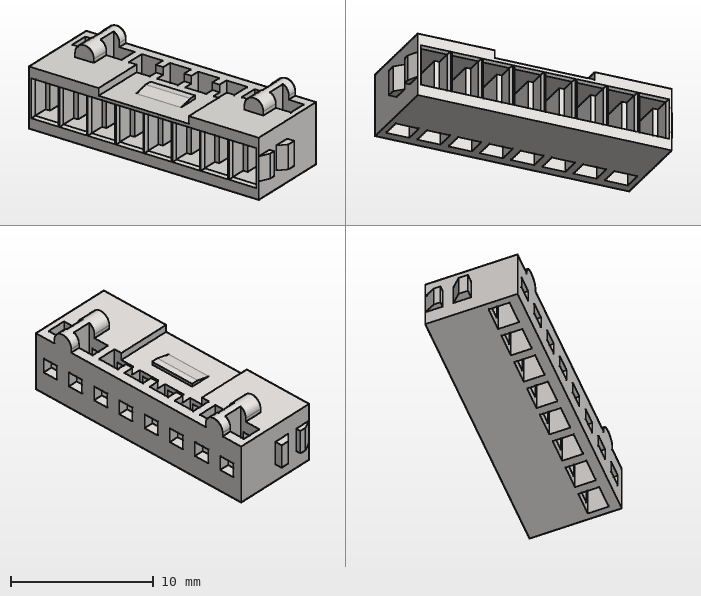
import cadquery as cq

BODY_LENGTH = 19.74
BODY_DEPTH = 6.98
BODY_HEIGHT = 4.86

CELL_COUNT = 8
CELL_PITCH = 2.425
CELL_WIDTH = 2.02
CELL_HEIGHT = 2.82
CELL_DEPTH = 1.5
MOUTH_FLARE = 0.15
MOUTH_FLARE_DEPTH = 0.25

SLOT_WIDTH = 1.26
WINDOW_WIDTH = 1.8
WINDOW_FRONT = 4.6
WINDOW_DEPTH = 1.58
REAR_HOLE_HEIGHT = 1.2

PEG_WIDTH = 1.62
PEG_HEIGHT = 1.15
PEG_LENGTH = 3.9
PEG_OFFSET = 3 * CELL_PITCH

RECESS_LENGTH = 7.75
RECESS_DEPTH = 5.35
RECESS_HEIGHT = 0.6

WEDGE_LENGTH = 3.85
WEDGE_FRONT = 1.83
WEDGE_RIDGE = 2.96
WEDGE_BACK = 3.53
WEDGE_HEIGHT = 0.25

HOOK_HEIGHT = 1.95
FRONT_HOOK = (0.0, 0.82, 1.32, 0.4)
REAR_HOOK = (2.14, 2.77, 3.47, 0.6)

MID_HEIGHT = BODY_HEIGHT / 2


def box_from(y_front, width, depth, height, x_center, z_bottom):
    """Box centred in X on x_center, running back from y_front and up from z_bottom."""
    corner_box = cq.Workplane("XY").box(width, depth, height, centered=(True, False, False))
    return corner_box.translate((x_center, y_front, z_bottom))


def cell_cutter(x_center):
    """Everything removed for one contact cell, from the flared mouth to the rear hole."""
    cell_bottom = MID_HEIGHT - CELL_HEIGHT / 2
    pocket = box_from(0, CELL_WIDTH, CELL_DEPTH, CELL_HEIGHT, x_center, cell_bottom)
    flare = (
        cq.Workplane("XZ", origin=(x_center, 0, MID_HEIGHT))
        .rect(CELL_WIDTH + 2 * MOUTH_FLARE, CELL_HEIGHT + 2 * MOUTH_FLARE)
        .workplane(offset=-MOUTH_FLARE_DEPTH)
        .rect(CELL_WIDTH, CELL_HEIGHT)
        .loft(ruled=True)
    )
    slot = box_from(0, SLOT_WIDTH, WINDOW_FRONT + WINDOW_DEPTH / 2, CELL_HEIGHT, x_center, cell_bottom)
    window = box_from(WINDOW_FRONT, WINDOW_WIDTH, WINDOW_DEPTH, BODY_HEIGHT + PEG_HEIGHT, x_center, 0)
    rear_hole_bottom = MID_HEIGHT - REAR_HOLE_HEIGHT / 2
    rear_hole = box_from(0, SLOT_WIDTH, BODY_DEPTH, REAR_HOLE_HEIGHT, x_center, rear_hole_bottom)
    return pocket.union(flare).union(slot).union(window).union(rear_hole)


def peg(x_center):
    """Keying peg with upright sides and a half-round top, flush with the rear face."""
    radius = PEG_WIDTH / 2
    straight_height = PEG_HEIGHT - radius
    return (
        cq.Workplane("XZ", origin=(x_center, BODY_DEPTH, BODY_HEIGHT))
        .moveTo(-radius, 0)
        .lineTo(-radius, straight_height)
        .threePointArc((0, PEG_HEIGHT), (radius, straight_height))
        .lineTo(radius, 0)
        .close()
        .extrude(PEG_LENGTH)
    )


def roof_wedge():
    """Latch wedge with a ramped front and a flat top behind its ridge."""
    return (
        cq.Workplane("YZ", origin=(-WEDGE_LENGTH / 2, 0, BODY_HEIGHT - RECESS_HEIGHT))
        .moveTo(WEDGE_FRONT, 0)
        .lineTo(WEDGE_RIDGE, WEDGE_HEIGHT)
        .lineTo(WEDGE_BACK, WEDGE_HEIGHT)
        .lineTo(WEDGE_BACK, 0)
        .close()
        .extrude(WEDGE_LENGTH)
    )


def end_hook(side, ramp_tip, ramp_end, back, projection):
    """Hook on the -X (side = -1) or +X (side = 1) end face, ramped towards the front."""
    face_x = side * BODY_LENGTH / 2
    outer_x = face_x + side * projection
    return (
        cq.Workplane("XY", origin=(0, 0, MID_HEIGHT - HOOK_HEIGHT / 2))
        .moveTo(face_x, ramp_tip)
        .lineTo(outer_x, ramp_end)
        .lineTo(outer_x, back)
        .lineTo(face_x, back)
        .close()
        .extrude(HOOK_HEIGHT)
    )


result = box_from(0, BODY_LENGTH, BODY_DEPTH, BODY_HEIGHT, 0, 0)
recess = box_from(0, RECESS_LENGTH, RECESS_DEPTH, RECESS_HEIGHT, 0, BODY_HEIGHT - RECESS_HEIGHT)
result = result.cut(recess).union(roof_wedge())

for side in (-1, 1):
    result = result.union(peg(side * PEG_OFFSET))
    for hook in (FRONT_HOOK, REAR_HOOK):
        result = result.union(end_hook(side, *hook))

for index in range(CELL_COUNT):
    cell_x = (index - (CELL_COUNT - 1) / 2) * CELL_PITCH
    result = result.cut(cell_cutter(cell_x))